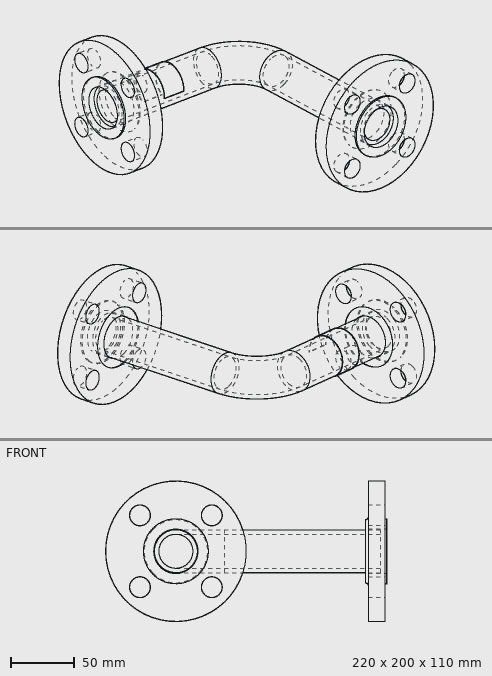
import cadquery as cq
import math

INLET_REACH = 145.0
OUTLET_REACH = 165.0

PIPE_DIAMETER = 33.7
BORE_DIAMETER = 26.6
BEND_RADIUS = 38.0
PIPE_SETBACK = 5.0

FLANGE_DIAMETER = 110.0
PLATE_THICKNESS = 13.0
FLANGE_BORE_DIAMETER = 34.5
RAISED_FACE_DIAMETER = 50.8
RAISED_FACE_HEIGHT = 1.5
HUB_DIAMETER = 49.5
HUB_HEIGHT = 2.5
HUB_FILLET_RADIUS = HUB_HEIGHT
BOLT_CIRCLE_DIAMETER = 79.5
BOLT_HOLE_DIAMETER = 16.0
BOLT_COUNT = 4

BAND_WIDTH = 19.8
BAND_THICKNESS = 0.5
BAND_TO_ELBOW = 38.7
BAND_WRAP_ANGLE = 240.0
BAND_CENTRE_ANGLE = 117.0

INLET_DIRECTION = cq.Vector(0, -1, 0)
OUTLET_DIRECTION = cq.Vector(1, 0, 0)


def leg_plane(direction, distance):
    """Plane across a leg at a distance from the axis crossing, with its normal pointing outwards."""
    across = direction.cross(cq.Vector(0, 0, 1))
    return cq.Plane(origin=(direction * distance).toTuple(), xDir=across.toTuple(), normal=direction.toTuple())


def make_pipe(direction, flange_reach):
    """Straight tube from the elbow end to just inside its flange."""
    length = flange_reach - PIPE_SETBACK - BEND_RADIUS
    return (
        cq.Workplane(leg_plane(direction, BEND_RADIUS))
        .circle(PIPE_DIAMETER / 2)
        .circle(BORE_DIAMETER / 2)
        .extrude(length)
    )


def make_elbow():
    """Quarter-turn tube joining the two legs."""
    return (
        cq.Workplane(leg_plane(INLET_DIRECTION, BEND_RADIUS))
        .circle(PIPE_DIAMETER / 2)
        .circle(BORE_DIAMETER / 2)
        .sweep(
            cq.Workplane("XY")
            .moveTo(0, -BEND_RADIUS)
            .radiusArc((BEND_RADIUS, 0), BEND_RADIUS)
        )
    )


def make_flange(direction, flange_reach):
    """Slip-on flange with a raised face, a filleted hub and a ring of bolt holes."""
    plate_front = flange_reach - RAISED_FACE_HEIGHT
    plate_back = plate_front - PLATE_THICKNESS
    hub_back = plate_back - HUB_HEIGHT
    thickness = flange_reach - hub_back

    plate = cq.Workplane(leg_plane(direction, plate_back)).circle(FLANGE_DIAMETER / 2).extrude(PLATE_THICKNESS)
    raised_face = (
        cq.Workplane(leg_plane(direction, plate_front))
        .circle(RAISED_FACE_DIAMETER / 2)
        .extrude(RAISED_FACE_HEIGHT)
    )
    bore = cq.Workplane(leg_plane(direction, hub_back)).circle(FLANGE_BORE_DIAMETER / 2).extrude(thickness)
    bolt_holes = (
        cq.Workplane(leg_plane(direction, plate_back))
        .polarArray(BOLT_CIRCLE_DIAMETER / 2, 180 / BOLT_COUNT, 360, BOLT_COUNT)
        .circle(BOLT_HOLE_DIAMETER / 2)
        .extrude(PLATE_THICKNESS)
    )
    return plate.union(make_hub(direction, hub_back)).union(raised_face).cut(bore).cut(bolt_holes)


def make_hub(direction, hub_back):
    """Low hub whose side flares out into the flange plate through a concave fillet."""
    hub_radius = HUB_DIAMETER / 2
    base_radius = hub_radius + HUB_FILLET_RADIUS
    fillet_middle = (
        base_radius - HUB_FILLET_RADIUS * math.sqrt(0.5),
        HUB_HEIGHT - HUB_FILLET_RADIUS * (1 - math.sqrt(0.5)),
    )
    across = direction.cross(cq.Vector(0, 0, 1))
    profile_plane = cq.Plane(
        origin=(direction * hub_back).toTuple(),
        xDir=across.toTuple(),
        normal=across.cross(direction).toTuple(),
    )
    return (
        cq.Workplane(profile_plane)
        .lineTo(hub_radius, 0)
        .threePointArc(fillet_middle, (base_radius, HUB_HEIGHT))
        .lineTo(0, HUB_HEIGHT)
        .close()
        .revolve(360, (0, 0), (0, 1))
    )


def make_band():
    """Thin identification band wrapped part of the way around the inlet pipe."""
    inner_radius = PIPE_DIAMETER / 2
    outer_radius = inner_radius + BAND_THICKNESS
    start_angle = BAND_CENTRE_ANGLE - BAND_WRAP_ANGLE / 2
    end_angle = BAND_CENTRE_ANGLE + BAND_WRAP_ANGLE / 2

    def at(radius, angle):
        return (radius * math.cos(math.radians(angle)), radius * math.sin(math.radians(angle)))

    return (
        cq.Workplane("XZ", origin=(0, -BEND_RADIUS - BAND_TO_ELBOW, 0))
        .moveTo(*at(inner_radius, start_angle))
        .lineTo(*at(outer_radius, start_angle))
        .threePointArc(at(outer_radius, BAND_CENTRE_ANGLE), at(outer_radius, end_angle))
        .lineTo(*at(inner_radius, end_angle))
        .threePointArc(at(inner_radius, BAND_CENTRE_ANGLE), at(inner_radius, start_angle))
        .close()
        .extrude(BAND_WIDTH)
    )


elbow = make_elbow()
band = make_band()
pipes = []
flanges = []
for leg_direction, reach in ((INLET_DIRECTION, INLET_REACH), (OUTLET_DIRECTION, OUTLET_REACH)):
    pipes.append(make_pipe(leg_direction, reach).val())
    flanges.append(make_flange(leg_direction, reach).val())

result = cq.Compound.makeCompound([elbow.val(), band.val(), *pipes, *flanges])